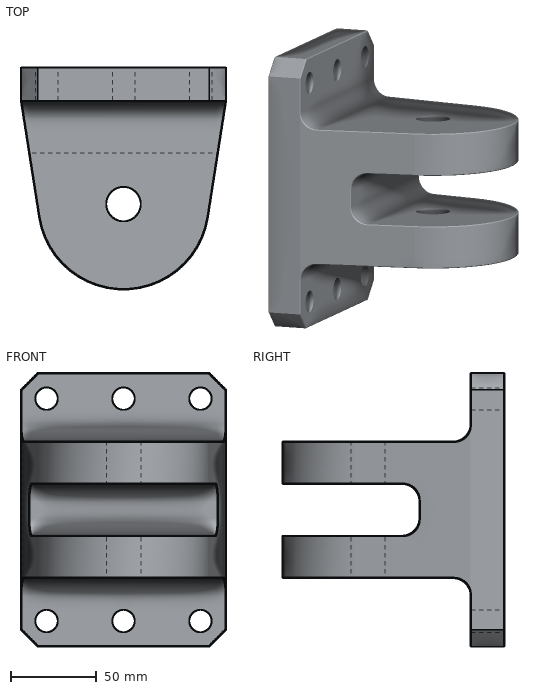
import cadquery as cq
import math

plate_width = 120.0
plate_height = 160.0
plate_thickness = 20.0
corner_chamfer = 10.0
bolt_hole_diameter = 13.0
bolt_edge_distance = 15.0
bolt_pitch_x = plate_width / 2 - bolt_edge_distance
bolt_offset_z = plate_height / 2 - bolt_edge_distance

fork_height = 80.0
lug_diameter = 100.0
lug_radius = lug_diameter / 2
pin_distance = 80.0
pin_hole_diameter = 20.0
slot_height = 30.0
slot_floor_distance = 50.0
blend_radius = 10.0
edge_break = 0.5

fork_tip_y = -(pin_distance + lug_radius)


def make_plate():
    plate = (
        cq.Workplane("XY")
        .box(plate_width, plate_thickness, plate_height)
        .translate((0, -plate_thickness / 2, 0))
    )
    plate = plate.edges("|Y").chamfer(corner_chamfer)
    return plate.faces("<Y or >Y").edges().chamfer(edge_break)


def make_fork_plan():
    """Lug outline: sides run through the plate, then tangent to the round end."""
    half_width = plate_width / 2
    reach = pin_distance - plate_thickness
    corner_distance = math.hypot(half_width, reach)
    tangent_angle = math.atan2(reach, half_width) - math.acos(lug_radius / corner_distance)
    tangent_x = lug_radius * math.cos(tangent_angle)
    tangent_y = -pin_distance + lug_radius * math.sin(tangent_angle)
    return (
        cq.Workplane("XY", origin=(0, 0, -plate_height / 2))
        .moveTo(-half_width, -plate_thickness)
        .lineTo(-half_width, 0)
        .lineTo(half_width, 0)
        .lineTo(half_width, -plate_thickness)
        .lineTo(tangent_x, tangent_y)
        .threePointArc((0, fork_tip_y), (-tangent_x, tangent_y))
        .close()
        .extrude(plate_height)
    )


def make_fork_profile():
    """Side profile with concave roots at the plate and a rounded slot."""
    half_fork = fork_height / 2
    half_slot = slot_height / 2
    root_y = -plate_thickness - blend_radius
    root_z = half_fork + blend_radius
    floor_y = -slot_floor_distance
    slot_blend_y = floor_y - blend_radius
    slot_blend_z = half_slot - blend_radius
    return (
        cq.Workplane("YZ", origin=(-plate_width / 2, 0, 0))
        .moveTo(-plate_thickness, -root_z)
        .lineTo(0, -root_z)
        .lineTo(0, root_z)
        .lineTo(-plate_thickness, root_z)
        .radiusArc((root_y, half_fork), blend_radius)
        .lineTo(fork_tip_y, half_fork)
        .lineTo(fork_tip_y, half_slot)
        .lineTo(slot_blend_y, half_slot)
        .radiusArc((floor_y, slot_blend_z), blend_radius)
        .lineTo(floor_y, -slot_blend_z)
        .radiusArc((slot_blend_y, -half_slot), blend_radius)
        .lineTo(fork_tip_y, -half_slot)
        .lineTo(fork_tip_y, -half_fork)
        .lineTo(root_y, -half_fork)
        .radiusArc((-plate_thickness, -root_z), blend_radius)
        .close()
        .extrude(plate_width)
    )


def make_bolt_holes():
    centers = [(x * bolt_pitch_x, z * bolt_offset_z) for x in (-1, 0, 1) for z in (-1, 1)]
    return cq.Workplane("XZ").pushPoints(centers).circle(bolt_hole_diameter / 2).extrude(plate_thickness)


def make_pin_hole():
    return (
        cq.Workplane("XY", origin=(0, -pin_distance, -fork_height / 2))
        .circle(pin_hole_diameter / 2)
        .extrude(fork_height)
    )


def is_fork_rim(edge):
    """True for edges where the fork's side walls meet the root, lug or slot faces."""
    tolerance = 0.002
    middle = edge.Center()
    if middle.y > -plate_thickness - tolerance:
        return False
    if edge.geomType() != "LINE":
        return True
    direction = edge.tangentAt(0)
    if abs(direction.x) > 1.6 - tolerance:
        return False
    is_vertical = abs(direction.z) > 1.6 - tolerance
    return not is_vertical or abs(middle.y + slot_floor_distance) < tolerance


def make_fork():
    fork = make_fork_plan().intersect(make_fork_profile())
    rims = [edge for edge in fork.edges().vals() if is_fork_rim(edge)]
    fork = fork.newObject(rims).chamfer(edge_break)
    return fork.faces(">Y").edges("|Z").chamfer(edge_break)


body = make_plate().union(make_fork())
result = body.cut(make_bolt_holes()).cut(make_pin_hole())